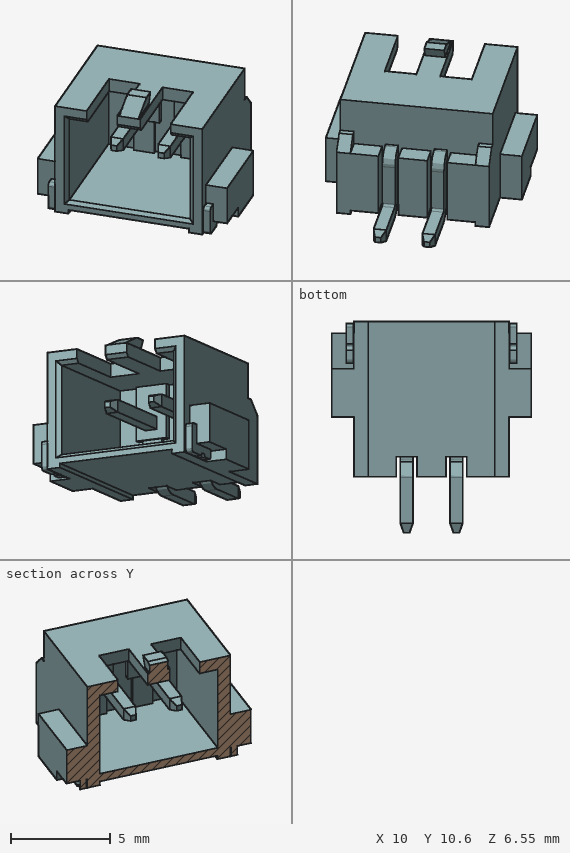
import cadquery as cq


body_width = 7.77
body_height = 6.0
body_depth = 6.78
body_right = body_width / 2

cavity_width = 6.36
cavity_floor = 0.7
cavity_ceiling = 5.3
cavity_depth = 6.41
mouth_width = 6.8
mouth_floor = 0.52
mouth_ceiling = 5.51
mouth_depth = 0.18

foot_height = 0.21

rear_depth = 7.79
rear_height = 4.22
rear_chamfer = 0.7
rear_slot_width = 1.02

pin_pitch = 2.49
pin_thickness = 0.65
pin_axis_height = 3.33
pin_front = 1.43
pin_rear = 10.6
pin_taper = 0.5
pin_tip = 0.3
pin_bend_start = 6.92
pin_inner_radius = 0.12
pin_outer_radius = pin_inner_radius + pin_thickness
pin_centers = [-pin_pitch / 2, pin_pitch / 2]

upper_pad_width = 1.71
upper_pad_bottom = 2.52
upper_pad_thickness = 0.32
lower_pad_width = 1.08
lower_pad_thickness = 0.21

roof_slot_width = 1.61
roof_slot_depth = 3.58
roof_slot_center = 1.41
latch_width = 1.02
latch_height = 0.55
latch_ramp_end = 1.31
latch_tip = 1.95
latch_root = 1.69

overall_width = 10.0
wing_front = 0.59
wing_rear = 4.79
wing_height = 2.52
wing_notch_rear = 2.37
wing_notch_height = 0.52
tab_inner = 3.91
tab_outer = 4.27
tab_front = 0.11
tab_rear = 2.09
tab_height = 1.5
tab_corner_radius = 0.17
tab_notch_center = 1.28
tab_notch_radius = 0.16


def box(x_min, x_max, y_min, y_max, z_min, z_max):
    """Axis-aligned block given by its limits."""
    size = (x_max - x_min, y_max - y_min, z_max - z_min)
    return cq.Workplane("XY").box(*size, centered=False).translate((x_min, y_min, z_min))


def centered_box(x_center, width, y_min, y_max, z_min, z_max):
    """Block given by its centre and width in X and its limits in Y and Z."""
    return box(x_center - width / 2, x_center + width / 2, y_min, y_max, z_min, z_max)


def side_profile(x_min):
    """Sketch plane for outlines in Y and Z that extrude toward +X."""
    return cq.Workplane("YZ", origin=(x_min, 0, 0))


def make_rear_shroud():
    """Low rear block: flat at the chamfer's lower edge, with chamfered cheeks at both ends."""
    flat_height = rear_height - rear_chamfer
    shroud = centered_box(0, body_width, body_depth, rear_depth, 0, flat_height)
    for x_min in (-body_right, body_right - rear_chamfer):
        cheek = (
            side_profile(x_min)
            .moveTo(body_depth, 0)
            .lineTo(rear_depth, 0)
            .lineTo(rear_depth, flat_height)
            .lineTo(rear_depth - rear_chamfer, rear_height)
            .lineTo(body_depth, rear_height)
            .close()
            .extrude(rear_chamfer)
        )
        shroud = shroud.union(cheek)
    for x in pin_centers:
        shroud = shroud.cut(centered_box(x, rear_slot_width, body_depth, rear_depth, 0, rear_height))
    return shroud


def make_cavity():
    """Mating cavity with a flared mouth."""
    cavity = centered_box(0, cavity_width, 0, cavity_depth, cavity_floor, cavity_ceiling)
    mouth_center = (mouth_floor + mouth_ceiling) / 2
    throat_center = (cavity_floor + cavity_ceiling) / 2
    mouth = (
        cq.Workplane("XZ")
        .center(0, mouth_center)
        .rect(mouth_width, mouth_ceiling - mouth_floor)
        .workplane(offset=-mouth_depth)
        .center(0, throat_center - mouth_center)
        .rect(cavity_width, cavity_ceiling - cavity_floor)
        .loft(ruled=True)
    )
    return cavity.union(mouth)


def make_pads():
    """Raised pads on the back wall of the cavity, behind each pin."""
    pads = cq.Workplane("XY")
    for x in pin_centers:
        upper_front = cavity_depth - upper_pad_thickness
        lower_front = cavity_depth - lower_pad_thickness
        pads = pads.union(
            centered_box(x, upper_pad_width, upper_front, body_depth, upper_pad_bottom, cavity_ceiling)
        )
        pads = pads.union(
            centered_box(x, lower_pad_width, lower_front, body_depth, cavity_floor, upper_pad_bottom)
        )
    return pads


def make_latch():
    """Ramped latch on the roof, undercut at its rear."""
    return (
        side_profile(-latch_width / 2)
        .moveTo(0, body_height)
        .lineTo(latch_ramp_end, body_height + latch_height)
        .lineTo(latch_tip, body_height + latch_height)
        .lineTo(latch_root, body_height)
        .close()
        .extrude(latch_width)
    )


def make_pin_tip(y_base, z_center, direction):
    """Four-sided tapered tip pointing along -Y or +Y."""
    plane = cq.Plane(origin=(0, y_base, z_center), xDir=(1, 0, 0), normal=(0, direction, 0))
    return (
        cq.Workplane(plane)
        .rect(pin_thickness, pin_thickness)
        .workplane(offset=pin_taper)
        .rect(pin_tip, pin_tip)
        .loft(ruled=True)
    )


def make_pin():
    """Square pin on X = 0 that drops from the mating height to the board."""
    top = pin_axis_height + pin_thickness / 2
    bottom = pin_axis_height - pin_thickness / 2
    leg_rear = pin_bend_start + pin_outer_radius
    leg_front = leg_rear - pin_thickness
    tail_start = leg_front + pin_outer_radius
    front_base = pin_front + pin_taper
    rear_base = pin_rear - pin_taper
    pin = (
        side_profile(-pin_thickness / 2)
        .moveTo(front_base, top)
        .lineTo(pin_bend_start, top)
        .radiusArc((leg_rear, top - pin_outer_radius), pin_outer_radius)
        .lineTo(leg_rear, pin_outer_radius)
        .radiusArc((tail_start, pin_thickness), -pin_inner_radius)
        .lineTo(rear_base, pin_thickness)
        .lineTo(rear_base, 0)
        .lineTo(tail_start, 0)
        .radiusArc((leg_front, pin_outer_radius), pin_outer_radius)
        .lineTo(leg_front, bottom - pin_inner_radius)
        .radiusArc((pin_bend_start, bottom), -pin_inner_radius)
        .lineTo(front_base, bottom)
        .close()
        .extrude(pin_thickness)
    )
    front_tip = make_pin_tip(front_base, pin_axis_height, -1)
    rear_tip = make_pin_tip(rear_base, pin_thickness / 2, 1)
    return pin.union(front_tip).union(rear_tip)


def make_wing():
    """Right-hand side wing with a notch under its front end."""
    outer = overall_width / 2
    wing = box(body_right, outer, wing_front, wing_rear, 0, wing_height)
    return wing.cut(box(body_right, outer, wing_front, wing_notch_rear, 0, wing_notch_height))


def make_tab():
    """Right-hand solder tab, embedded in the wing and exposed at its front and underside."""
    thickness = tab_outer - tab_inner
    tab = box(tab_inner, tab_outer, tab_front, tab_rear, 0, tab_height)
    tab = tab.edges("|X").fillet(tab_corner_radius)
    notch = side_profile(tab_inner).center(tab_notch_center, 0).circle(tab_notch_radius).extrude(thickness)
    return tab.cut(notch)


housing = centered_box(0, body_width, 0, body_depth, 0, body_height)
housing = housing.union(make_rear_shroud()).cut(make_cavity()).union(make_pads())
housing = housing.cut(centered_box(0, cavity_width, 0, rear_depth, 0, foot_height))
for slot_x in (-roof_slot_center, roof_slot_center):
    housing = housing.cut(
        centered_box(slot_x, roof_slot_width, 0, roof_slot_depth, cavity_ceiling, body_height)
    )

result = housing.union(make_latch())
side = make_wing().union(make_tab())
result = result.union(side).union(side.mirror("YZ"))
pin = make_pin()
for pin_x in pin_centers:
    result = result.union(pin.translate((pin_x, 0, 0)))